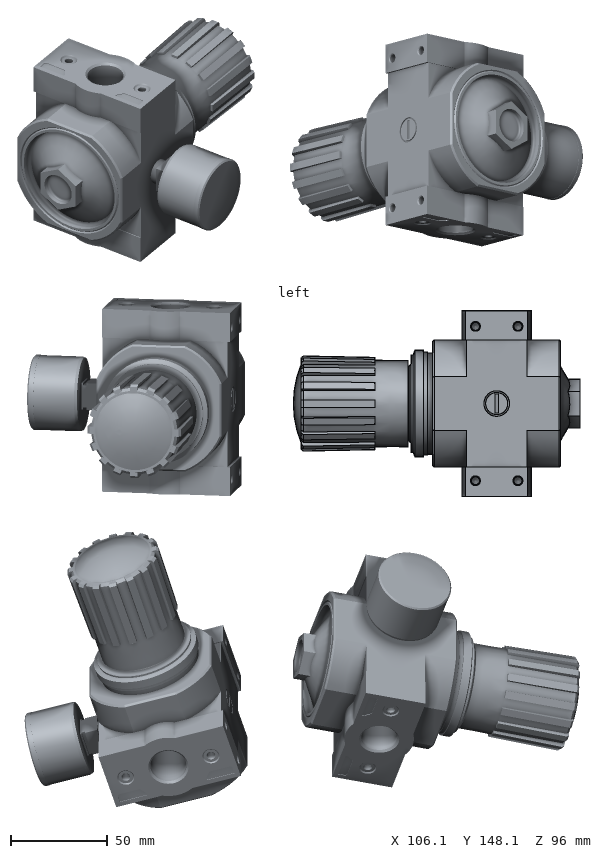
import cadquery as cq
import math


body_half = 32.9
body_end = 33.0
end_radius = 35.7
end_chamfer = 0.9
block_half = 15.5

groove_outer_radius = 31.0
groove_inner_radius = 29.8
groove_depth = 0.6
recess_radius = 28.5
cone_base_radius = 26.8
cone_base_y = -28.6
cone_slope = math.radians(30)
hex_flats = 22.0
hex_corners = hex_flats / math.cos(math.radians(30))
hex_end_y = -43.1
dimple_diameter = 17.0
dimple_fillet = 1.0
dimple_depth = 3.3

bonnet_base_radius = 26.2
bonnet_lip_radius = 26.7
bonnet_ring_radius = 27.5
bonnet_top_radius = 25.2
bonnet_lip_y = 35.9
bonnet_ring_y = 38.0
bonnet_ring_top_y = 42.2
bonnet_bevel_y = 43.1
bonnet_top_y = 44.2
neck_base_radius = 20.6
neck_radius = 19.3
neck_cone_y = 45.3

knob_bottom_y = 45.8
knob_shoulder_y = 101.0
knob_top_y = 105.0
knob_bottom_radius = 22.4
knob_edge_radius = 22.7
knob_edge_chamfer = 1.3
dome_radius = 20.2
rib_count = 16
rib_width = 3.9
rib_bottom_y = 63.0
rib_bottom_radius = 23.9
rib_top_radius = 24.6
rib_edge_chamfer = 1.2

plate_left = -34.2
plate_right = body_half
plate_outer = 48.0
plate_half_width = 16.0
plate_boss_radius = 18.0
port_diameter = 18.7
port_chamfer = 1.0

end_hole_y = 11.0
end_hole_z = 39.9
end_hole_mouth = 5.0
end_hole_diameter = 4.1
end_hole_depth = 4.5
drill_tip_slope = math.radians(30)

label_depth = 0.3
label_margin = 2.7
label_length = 14.7
label_top_length = 12.2
label_corner = 0.7
label_top_y = -8.9
label_bottom_y = -13.5
label_tip_y = -12.2

screw_x = 23.0
screw_mouth_diameter = 8.7
screw_head_diameter = 7.7
screw_shank_diameter = 6.4
screw_sink = 0.6
screw_head_height = 6.0
socket_mouth = 4.6
socket_diameter = 4.1
socket_depth = 3.0
screw_length = 23.7

plug_diameter = 13.2
plug_face_diameter = 11.4
plug_face_height = 0.7
plug_length = 7.4
plug_slot_width = 2.0
plug_slot_length = 9.8
plug_slot_depth = 0.7

stem_diameter = 13.2
square_start_x = 36.5
square_half = 7.0
square_groove_start_x = 43.0
square_groove_end_x = 44.8
square_groove_floor = 5.8
case_start_x = 45.6
case_rim_x = 47.1
bezel_start_x = 68.6
gauge_end_x = 71.9
case_diameter = 38.7
bezel_diameter = 39.0
case_rim = 0.5
bezel_chamfer = 0.7


def turned_about_y(points):
    """Solid of revolution about Y from (radius, y) points."""
    return cq.Workplane("XY").polyline(points).close().revolve(360, (0, 0), (0, 1))


def round_pocket(radius, fillet, mouth_y, floor_y):
    """Cutter about Y that opens toward -Y, with a fillet between its wall and its floor."""
    return (
        cq.Workplane("XY")
        .moveTo(0, mouth_y)
        .lineTo(radius, mouth_y)
        .lineTo(radius, floor_y - fillet)
        .radiusArc((radius - fillet, floor_y), -fillet)
        .lineTo(0, floor_y)
        .close()
        .revolve(360, (0, 0), (0, 1))
    )


def box_between(x_span, y_span, z_span):
    """Box that fills the three given (low, high) spans."""
    size = [high - low for low, high in (x_span, y_span, z_span)]
    return cq.Workplane("XY").box(*size, centered=False).translate((x_span[0], y_span[0], z_span[0]))


def cylinder_z(diameter, low, high):
    """Cylinder along Z at the origin, between two heights."""
    return cq.Workplane("XY").workplane(offset=low).circle(diameter / 2).extrude(high - low)


def drilled_hole(mouth_diameter, diameter, depth):
    """Chamfered blind hole with a conical bottom, from Z = 0 downward."""
    mouth = mouth_diameter / 2
    inner = diameter / 2
    points = [
        (0, 0),
        (mouth, 0),
        (inner, inner - mouth),
        (inner, -depth),
        (0, -depth - inner * math.tan(drill_tip_slope)),
    ]
    return cq.Workplane("XZ").polyline(points).close().revolve(360, (0, 0), (0, 1))


def screw_envelope():
    """Headed screw along Z, without its socket, with the plate face at Z = 0."""
    head_bottom = -screw_sink - screw_head_height
    head = cylinder_z(screw_head_diameter, head_bottom, -screw_sink)
    shank = cylinder_z(screw_shank_diameter, -screw_length, head_bottom)
    return head.union(shank)


def on_plate_face(shape, x, side):
    """Moves a shape made at Z = 0 to the outer face of the upper (+1) or lower (-1) plate."""
    moved = shape.translate((x, 0, plate_outer))
    return moved if side > 0 else moved.mirror("XY")


def plug_envelope():
    """Stepped disc along X, without its slot, flush with the -X face of the body."""
    points = [
        (0, 0),
        (plug_face_diameter / 2, 0),
        (plug_face_diameter / 2, plug_face_height),
        (plug_diameter / 2, plug_face_height),
        (plug_diameter / 2, plug_length),
        (0, plug_length),
    ]
    disc = cq.Workplane("XY").polyline([(depth - body_half, r) for r, depth in points]).close()
    return disc.revolve(360, (0, 0), (1, 0))


def make_hex_end():
    """Shallow cone and dimpled hexagon."""
    dimple_radius = dimple_diameter / 2
    cone_top_y = cone_base_y - (cone_base_radius - dimple_radius) * math.tan(cone_slope)
    cone = turned_about_y([
        (0, cone_base_y),
        (cone_base_radius, cone_base_y),
        (dimple_radius, cone_top_y),
        (0, cone_top_y),
    ])
    hexagon = (
        cq.Workplane("XZ", origin=(0, cone_base_y, 0))
        .transformed(rotate=(0, 0, 90))
        .polygon(6, hex_corners)
        .extrude(cone_base_y - hex_end_y)
    )
    dimple = round_pocket(dimple_radius, dimple_fillet, hex_end_y, hex_end_y + dimple_depth)
    return cone.union(hexagon).cut(dimple)


def make_end_recess():
    """Round recess around the cone and the V-groove that surrounds it."""
    recess = round_pocket(recess_radius, recess_radius - cone_base_radius, -body_end, cone_base_y)
    groove = turned_about_y([
        (groove_inner_radius, -body_end),
        (groove_outer_radius, -body_end),
        ((groove_inner_radius + groove_outer_radius) / 2, -body_end + groove_depth),
    ])
    return recess.union(groove)


def make_bonnet():
    """Stepped round bonnet and the neck under the knob."""
    return turned_about_y([
        (0, body_end),
        (bonnet_base_radius, body_end),
        (bonnet_base_radius, bonnet_lip_y),
        (bonnet_lip_radius, bonnet_lip_y),
        (bonnet_lip_radius, bonnet_ring_y),
        (bonnet_ring_radius, bonnet_ring_y),
        (bonnet_ring_radius, bonnet_ring_top_y),
        (bonnet_top_radius, bonnet_bevel_y),
        (bonnet_top_radius, bonnet_top_y),
        (neck_base_radius, bonnet_top_y),
        (neck_radius, neck_cone_y),
        (neck_radius, knob_bottom_y),
        (0, knob_bottom_y),
    ])


def make_body():
    """Square body with rounded ends, bonnet, hexagon end, port and seats for the screws and plug."""
    full = (-body_half, body_half)
    ends = (
        cq.Workplane("XZ", origin=(0, body_end, 0))
        .circle(end_radius)
        .extrude(2 * body_end)
        .intersect(box_between(full, (-body_end, body_end), full))
        .faces("<Y or >Y")
        .chamfer(end_chamfer)
    )
    block = box_between(full, (-block_half, block_half), full)
    plug_hole = (
        cq.Workplane("YZ", origin=(-body_half, 0, 0)).circle(plug_diameter / 2).extrude(plug_length)
    )
    body = ends.union(block).cut(make_end_recess())
    body = body.union(make_hex_end()).union(make_bonnet())
    body = body.cut(cylinder_z(port_diameter, -body_half, body_half)).cut(plug_hole)
    for side in (-1, 1):
        for x in (-screw_x, screw_x):
            body = body.cut(on_plate_face(screw_envelope(), x, side))
    return body


def label_cutter(end_x, inward):
    """Slant-ended label pocket below Z = 0; it starts near the plate end and runs along `inward`."""
    start = end_x + inward * label_margin
    points = [
        (start, label_bottom_y),
        (start, label_top_y - label_corner),
        (start + inward * label_corner, label_top_y),
        (start + inward * label_top_length, label_top_y),
        (start + inward * label_length, label_tip_y),
        (start + inward * label_length, label_bottom_y),
    ]
    return cq.Workplane("XY").polyline(points).close().extrude(-label_depth)


def screw_mouth():
    """Chamfer in the plate face around a screw head."""
    return (
        cq.Workplane("XY")
        .circle(screw_mouth_diameter / 2)
        .workplane(offset=-screw_sink)
        .circle(screw_head_diameter / 2)
        .loft()
    )


def make_plate(side):
    """Connection plate with a round port boss, screw seats, labels and end holes."""
    plate = box_between(
        (plate_left, plate_right),
        (-plate_half_width, plate_half_width),
        (body_half, plate_outer),
    )
    plate = plate.union(cylinder_z(2 * plate_boss_radius, body_half, plate_outer))
    plate = plate.cut(cylinder_z(port_diameter, body_half, plate_outer))
    port_mouth = plate.faces(">Z").edges(cq.selectors.RadiusNthSelector(0))
    plate = port_mouth.chamfer(port_chamfer)
    for x in (-screw_x, screw_x):
        seat = screw_mouth().union(screw_envelope())
        plate = plate.cut(seat.translate((x, 0, plate_outer)))
    for end_x, inward in ((plate_left, 1), (plate_right, -1)):
        plate = plate.cut(label_cutter(end_x, inward).translate((0, 0, plate_outer)))
    end_hole = drilled_hole(end_hole_mouth, end_hole_diameter, end_hole_depth)
    end_hole = end_hole.rotate((0, 0, 0), (0, 1, 0), -90)
    for y in (-end_hole_y, end_hole_y):
        plate = plate.cut(end_hole.translate((plate_left, y, end_hole_z)))
    return plate if side > 0 else plate.mirror("XY")


def make_screw(x, side):
    """Plate screw with a socket in its head."""
    socket = drilled_hole(socket_mouth, socket_diameter, socket_depth)
    screw = screw_envelope().cut(socket.translate((0, 0, -screw_sink)))
    return on_plate_face(screw, x, side)


def make_plug():
    """Plug with a screwdriver slot."""
    slot = box_between(
        (-body_half, -body_half + plug_slot_depth),
        (-plug_slot_width / 2, plug_slot_width / 2),
        (-plug_slot_length / 2, plug_slot_length / 2),
    )
    return plug_envelope().cut(slot)


def make_knob():
    """Domed, slightly tapered knob with ribs along its grip."""
    chamfer_y = knob_shoulder_y - knob_edge_chamfer
    dome_height = knob_top_y - knob_shoulder_y
    sphere_radius = (dome_radius**2 + dome_height**2) / (2 * dome_height)
    half_angle = math.asin(dome_radius / sphere_radius) / 2
    dome_middle = (
        sphere_radius * math.sin(half_angle),
        knob_top_y - sphere_radius * (1 - math.cos(half_angle)),
    )
    knob = (
        cq.Workplane("XY")
        .moveTo(0, knob_bottom_y)
        .lineTo(knob_bottom_radius, knob_bottom_y)
        .lineTo(knob_edge_radius, chamfer_y)
        .lineTo(knob_edge_radius - knob_edge_chamfer, knob_shoulder_y)
        .lineTo(dome_radius, knob_shoulder_y)
        .threePointArc(dome_middle, (0, knob_top_y))
        .close()
        .revolve(360, (0, 0), (0, 1))
    )
    rib_root = knob_edge_radius - knob_edge_chamfer
    rib = (
        cq.Workplane("XY")
        .polyline([
            (rib_root, rib_bottom_y),
            (rib_bottom_radius, rib_bottom_y),
            (rib_top_radius, knob_shoulder_y - rib_edge_chamfer),
            (rib_top_radius - rib_edge_chamfer, knob_shoulder_y),
            (rib_root, knob_shoulder_y),
        ])
        .close()
        .extrude(rib_width / 2, both=True)
    )
    for index in range(rib_count):
        knob = knob.union(rib.rotate((0, 0, 0), (0, 1, 0), index * 360 / rib_count))
    return knob


def make_gauge():
    """Round gauge with a square, grooved shank and a round stem that meets the body."""
    case_radius = case_diameter / 2
    bezel_radius = bezel_diameter / 2
    case = (
        cq.Workplane("XY")
        .polyline([
            (case_start_x, 0),
            (case_start_x, case_radius - case_rim),
            (case_rim_x, case_radius),
            (bezel_start_x, case_radius),
            (bezel_start_x, bezel_radius),
            (gauge_end_x - bezel_chamfer, bezel_radius),
            (gauge_end_x, bezel_radius - bezel_chamfer),
            (gauge_end_x, 0),
        ])
        .close()
        .revolve(360, (0, 0), (1, 0))
    )
    stem = (
        cq.Workplane("YZ", origin=(body_half, 0, 0))
        .circle(stem_diameter / 2)
        .extrude(square_start_x - body_half)
    )
    square = (-square_half, square_half)
    shank = box_between((square_start_x, case_start_x), square, square)
    groove_span = (square_groove_start_x, square_groove_end_x)
    groove = box_between(groove_span, square, (square_groove_floor, square_half))
    shank = shank.cut(groove).cut(groove.mirror("XY"))
    return case.union(shank).union(stem)


body = make_body()
plates = [make_plate(side) for side in (-1, 1)]
screws = [make_screw(x, side) for side in (-1, 1) for x in (-screw_x, screw_x)]
plug = make_plug()
knob = make_knob()
gauge = make_gauge()

result = cq.Compound.makeCompound([
    body.val(),
    *[plate.val() for plate in plates],
    *[screw.val() for screw in screws],
    plug.val(),
    knob.val(),
    gauge.val(),
])